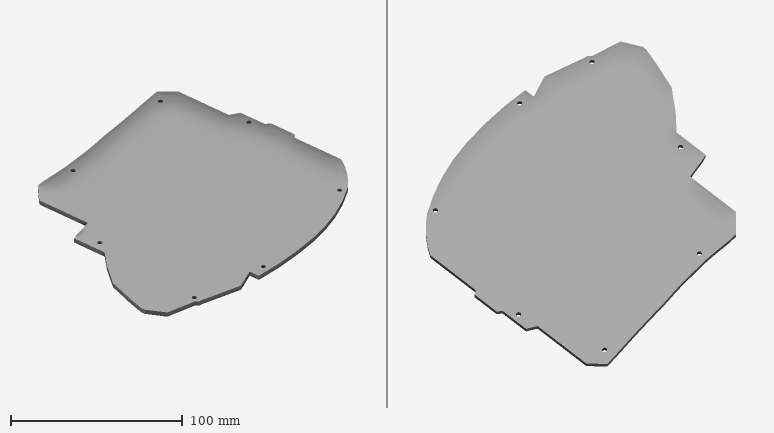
import cadquery as cq

plate_width = 161.31
plate_depth = 190.28
plate_thickness = 3.0
hole_diameter = 3.0

tab_top = plate_depth
tab_height = 2.7
back_edge = tab_top - tab_height
back_left_edge = 181.7
front_left_edge = 47.1
front_step_edge = 30.1
right_notch_level = 67.4

left_side = [
    (0.0, 173.9),
    (0.1, 170.6),
    (0.9, 157.6),
    (1.4, 151.0),
    (2.2, 136.0),
    (2.5, 128.2),
    (2.7, 121.6),
    (3.6, 109.8),
    (3.9, 102.7),
    (4.0, 84.4),
    (3.7, 77.2),
    (2.7, 65.4),
    (2.5, 58.4),
]

front_steps = [
    (11.3, 48.4),
    (12.7, front_left_edge),
    (48.4, front_left_edge),
    (50.7, 32.7),
    (51.6, front_step_edge),
    (74.1, front_step_edge),
]

front_lobe = [
    (83.6, 20.3),
    (96.7, 9.2),
    (99.3, 8.4),
    (113.7, 3.3),
    (124.8, 0.0),
    (127.4, 0.0),
    (128.7, 0.7),
    (139.5, 5.9),
]

right_flank = [
    (145.2, 24.2),
    (147.3, 26.2),
    (148.0, 28.8),
    (156.8, 53.3),
    (152.2, right_notch_level),
    (159.0, right_notch_level),
]

right_bow_arcs = [
    ((plate_width, 99.0), (160.7, 117.0)),
    ((156.0, 143.2), (145.9, 168.0)),
    ((136.5, 179.3), (125.8, back_edge)),
]

back_steps = [
    (90.3, back_edge),
    (89.0, tab_top),
    (71.8, tab_top),
    (69.2, back_edge),
    (51.1, back_edge),
    (47.3, back_left_edge),
    (9.4, back_left_edge),
]

screw_holes = [
    (60.8, 183.2),
    (7.5, 167.7),
    (143.8, 163.0),
    (9.7, 82.4),
    (155.4, 76.3),
    (65.9, 36.0),
    (142.6, 27.4),
]


def trace_lines(outline, corners):
    """Continue the outline with straight lines through the corners."""
    for corner in corners:
        outline = outline.lineTo(*corner)
    return outline


def trace_arcs(outline, arcs):
    """Continue the outline with a chain of arcs."""
    for point_on_arc, end_point in arcs:
        outline = outline.threePointArc(point_on_arc, end_point)
    return outline


def make_plate():
    """Trace the outline counterclockwise from the back left corner and extrude it."""
    start_corner = left_side[0]
    outline = cq.Workplane("XY").moveTo(*start_corner)
    outline = trace_lines(outline, left_side[1:])
    outline = trace_lines(outline, front_steps)
    outline = trace_lines(outline, front_lobe)
    outline = trace_lines(outline, right_flank)
    outline = trace_arcs(outline, right_bow_arcs)
    outline = trace_lines(outline, back_steps)
    return outline.close().extrude(plate_thickness)


def drill_screw_holes(plate):
    """Cut every screw hole through the full thickness."""
    drills = (
        cq.Workplane("XY")
        .pushPoints(screw_holes)
        .circle(hole_diameter / 2)
        .extrude(plate_thickness)
    )
    return plate.cut(drills)


result = drill_screw_holes(make_plate())